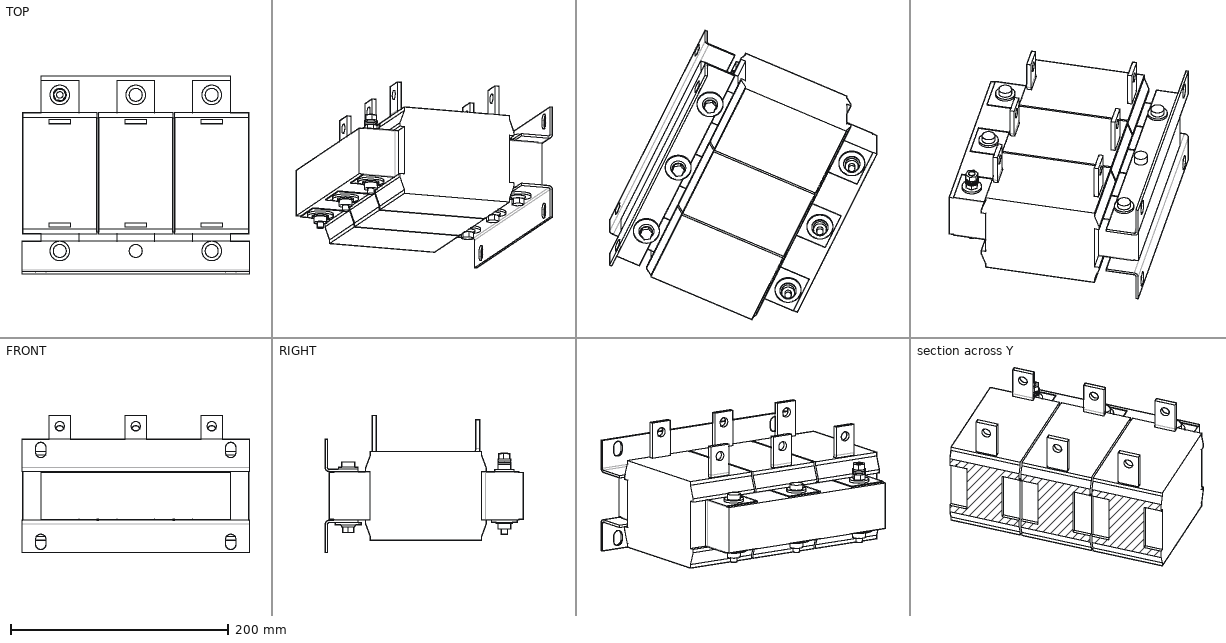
import cadquery as cq
import math


PHASE_PITCH = 70.0
PHASES = (-PHASE_PITCH, 0.0, PHASE_PITCH)

BRACKET_LENGTH = 210.0
BRACKET_HALF_HEIGHT = 52.3
BRACKET_DEPTH = 30.3
SHEET = 2.25
BEND_INNER_RADIUS = 1.5
BEND_OUTER_RADIUS = BEND_INNER_RADIUS + SHEET
SLOT_WIDTH = 9.5
SLOT_HEIGHT = 14.0
SLOT_X = 87.5
SLOT_Z = 42.25

LIMB = 35.0
CORE_WIDTH = 2 * PHASE_PITCH + LIMB
CORE_HEIGHT = 43.2
WINDOW_LENGTH = 105.0
AIR_GAP = 3.8
CORE_FRONT = BEND_OUTER_RADIUS
FRONT_YOKE_END = CORE_FRONT + LIMB
LIMB_END = FRONT_YOKE_END + WINDOW_LENGTH
REAR_YOKE_START = LIMB_END + AIR_GAP
CORE_REAR = REAR_YOKE_START + LIMB

STRIP_THICKNESS = 0.75
STRIP_INSET = 4.1
CLAMP_Z = CORE_HEIGHT / 2 + STRIP_THICKNESS

COIL_WIDTH = 68.3
COIL_HALF_HEIGHT = 41.0
COIL_FRONT = 41.5
COIL_REAR = 144.2
BULGE = 4.4
BULGE_LOWER_Z = 25.5
BULGE_UPPER_Z = 37.5

TAB_WIDTH = 20.0
TAB_THICKNESS = 4.0
FRONT_TAB_Y = 43.2
REAR_TAB_Y = 138.6
FRONT_TAB_TOP = 74.3
REAR_TAB_DROP = 4.0
REAR_TAB_TOP = FRONT_TAB_TOP - REAR_TAB_DROP
TAB_HOLE_DIAMETER = 8.5
TAB_HOLE_DROP = 10.0
FOOT_HEIGHT = 2.5
FOOT_INNER_RADIUS = 6.0

FRONT_BOLT_Y = CORE_FRONT + LIMB / 2
REAR_BOLT_Y = REAR_YOKE_START + LIMB / 2
STUD_DIAMETER = 6.0
HEAD_DIAMETER = 12.0
HEAD_HEIGHT = 4.7
WASHER_DIAMETER = 18.0
WIDE_WASHER_DIAMETER = 24.0
WASHER_THICKNESS = 2.0
SMALL_WASHER_DIAMETER = 12.0
SMALL_WASHER_THICKNESS = 1.5
SPRING_WASHER_DIAMETER = 11.6
SPRING_SLIT_WIDTH = 0.6
SPRING_SLIT_ANGLE = 221.0
NUT_ACROSS_FLATS = 10.0
NUT_ACROSS_CORNERS = NUT_ACROSS_FLATS / math.cos(math.pi / 6)
NUT_HEIGHT = 5.0
NUT_TURN = 8.0
STUD_TOP_PROJECTION = 0.5
COLLAR_DIAMETER = 15.0
COLLAR_THICKNESS = 1.3
LOCK_NUT_DIAMETER = 12.0
STUD_BOTTOM_PROJECTION = 4.7
SERRATED_LARGE_DIAMETER = 14.0
SERRATED_SMALL_DIAMETER = 11.6
SERRATED_THICKNESS = 2.2


def block(x_center, width, y_start, y_end, z_start, z_end):
    size_y = y_end - y_start
    size_z = z_end - z_start
    corner = (x_center - width / 2, y_start, z_start)
    return cq.Workplane("XY").box(width, size_y, size_z, centered=False).translate(corner)


def disc(x, y, z, diameter, height):
    """Round disc standing on z; a negative height hangs it below z."""
    return cq.Workplane("XY", origin=(x, y, z)).circle(diameter / 2).extrude(height)


def nut(x, y, z, height, turn):
    """Hexagon nut with a corner facing -X, turned about its axis by `turn` degrees."""
    hexagon = cq.Workplane("XY").polygon(6, NUT_ACROSS_CORNERS).extrude(height)
    return hexagon.rotate((0, 0, 0), (0, 0, 1), turn).translate((x, y, z))


def make_core():
    """Front yoke with three limbs, gap filler, rear yoke and the insulating strips."""
    half = CORE_HEIGHT / 2
    core = block(0, CORE_WIDTH, CORE_FRONT, FRONT_YOKE_END, -half, half)
    for x in PHASES:
        core = core.union(block(x, LIMB, FRONT_YOKE_END, LIMB_END, -half, half))
    core = core.union(block(0, CORE_WIDTH, LIMB_END, REAR_YOKE_START, -half, half), clean=False)
    core = core.union(block(0, CORE_WIDTH, REAR_YOKE_START, CORE_REAR, -half, half), clean=False)
    strip_front = CORE_FRONT + STRIP_INSET
    strip_rear = CORE_REAR - STRIP_INSET
    for x in PHASES:
        core = core.union(block(x, LIMB, strip_front, strip_rear, half, CLAMP_Z), clean=False)
        core = core.union(block(x, LIMB, strip_front, strip_rear, -CLAMP_Z, -half), clean=False)
    return core


def make_coil(x):
    """Winding block whose ends bulge out above and below the core."""
    upper_end = [
        (COIL_FRONT, CLAMP_Z),
        (COIL_FRONT - BULGE, CLAMP_Z),
        (COIL_FRONT - BULGE, BULGE_LOWER_Z),
        (COIL_FRONT, BULGE_UPPER_Z),
    ]
    middle_y = (COIL_FRONT + COIL_REAR) / 2
    left = cq.Workplane("YZ", origin=(x - COIL_WIDTH / 2, 0, 0))
    bulge = left.polyline(upper_end).close().extrude(COIL_WIDTH)
    bulge = bulge.union(bulge.mirror("XY"))
    coil = block(x, COIL_WIDTH, COIL_FRONT, COIL_REAR, -COIL_HALF_HEIGHT, COIL_HALF_HEIGHT)
    return coil.union(bulge).union(bulge.mirror("XZ", (0, middle_y, 0)))


def make_tab(x, y_start, bottom, top):
    """Upright terminal plate with a hole near its top."""
    y_end = y_start + TAB_THICKNESS
    tab = block(x, TAB_WIDTH, y_start, y_end, bottom, top)
    hole = (
        cq.Workplane("XZ", origin=(x, y_end, top - TAB_HOLE_DROP))
        .circle(TAB_HOLE_DIAMETER / 2)
        .extrude(TAB_THICKNESS)
    )
    return tab.cut(hole)


def make_tab_foot(x):
    """Start of the bend that carries a rear tab forward into its coil."""
    axis_y = REAR_TAB_Y - FOOT_INNER_RADIUS
    axis_z = COIL_HALF_HEIGHT + FOOT_HEIGHT
    bend = (
        cq.Workplane("YZ", origin=(x - TAB_WIDTH / 2, axis_y, axis_z))
        .circle(FOOT_INNER_RADIUS + TAB_THICKNESS)
        .circle(FOOT_INNER_RADIUS)
        .extrude(TAB_WIDTH)
    )
    rear_half = block(x, TAB_WIDTH, axis_y, REAR_TAB_Y + TAB_THICKNESS, COIL_HALF_HEIGHT, axis_z)
    return bend.intersect(rear_half)


def make_upper_bracket():
    """Bent angle: flat leg clamped on the core, upright leg with two mounting slots."""
    bend_z = CLAMP_Z + BEND_OUTER_RADIUS
    flat = block(0, BRACKET_LENGTH, BEND_OUTER_RADIUS, BRACKET_DEPTH, CLAMP_Z, CLAMP_Z + SHEET)
    upright = block(0, BRACKET_LENGTH, 0, SHEET, bend_z, BRACKET_HALF_HEIGHT)
    bend_axis = cq.Workplane("YZ", origin=(-BRACKET_LENGTH / 2, BEND_OUTER_RADIUS, bend_z))
    bend = bend_axis.circle(BEND_OUTER_RADIUS).circle(BEND_INNER_RADIUS).extrude(BRACKET_LENGTH)
    bend = bend.intersect(block(0, BRACKET_LENGTH, 0, BEND_OUTER_RADIUS, CLAMP_Z, bend_z))
    bracket = flat.union(bend, clean=False).union(upright, clean=False)
    slots = (
        cq.Workplane("XZ", origin=(0, SHEET, SLOT_Z))
        .pushPoints([(-SLOT_X, 0), (SLOT_X, 0)])
        .slot2D(SLOT_HEIGHT, SLOT_WIDTH, 90)
        .extrude(SHEET)
    )
    return bracket.cut(slots, clean=False)


def make_head(x, y, seat_z, with_washer):
    """Round bolt head, its top at the same level with or without the washer."""
    head = disc(x, y, seat_z, HEAD_DIAMETER, WASHER_THICKNESS + HEAD_HEIGHT)
    if with_washer:
        head = head.union(disc(x, y, seat_z, WASHER_DIAMETER, WASHER_THICKNESS))
    return head


def make_spring_washer(x, y, z):
    """Split washer: a disc slit from its rim to the stud."""
    stud_radius = STUD_DIAMETER / 2
    slit_length = SPRING_WASHER_DIAMETER / 2
    slit = cq.Workplane("XY").box(
        slit_length, SPRING_SLIT_WIDTH, SMALL_WASHER_THICKNESS, centered=(False, True, False)
    )
    slit = slit.translate((stud_radius, 0, 0)).rotate((0, 0, 0), (0, 0, 1), SPRING_SLIT_ANGLE)
    washer = disc(x, y, z, SPRING_WASHER_DIAMETER, SMALL_WASHER_THICKNESS)
    return washer.cut(slit.translate((x, y, z)))


def make_earth_stud(x, y):
    """Stack on the core: washer, nut, three small washers, nut and the stud end."""
    z = CLAMP_Z
    stack = disc(x, y, z, WASHER_DIAMETER, WASHER_THICKNESS)
    z += WASHER_THICKNESS
    stack = stack.union(nut(x, y, z, NUT_HEIGHT, NUT_TURN))
    z += NUT_HEIGHT
    plain = disc(x, y, z, SMALL_WASHER_DIAMETER, SMALL_WASHER_THICKNESS)
    stack = stack.union(plain)
    z += SMALL_WASHER_THICKNESS
    stack = stack.union(make_spring_washer(x, y, z))
    z += SMALL_WASHER_THICKNESS
    stack = stack.union(plain.translate((0, 0, 2 * SMALL_WASHER_THICKNESS)))
    z += SMALL_WASHER_THICKNESS
    stack = stack.union(nut(x, y, z, NUT_HEIGHT, -NUT_TURN))
    z += NUT_HEIGHT
    return stack.union(disc(x, y, z, STUD_DIAMETER, STUD_TOP_PROJECTION))


def make_rear_underside(x, y):
    """Wide washer, collar, round lock nut and stud end below the rear yoke."""
    stack = disc(x, y, -CLAMP_Z, WIDE_WASHER_DIAMETER, -WASHER_THICKNESS)
    z = -CLAMP_Z - WASHER_THICKNESS
    stack = stack.union(disc(x, y, z, COLLAR_DIAMETER, -COLLAR_THICKNESS))
    z -= COLLAR_THICKNESS
    stack = stack.union(disc(x, y, z, LOCK_NUT_DIAMETER, -NUT_HEIGHT))
    z -= NUT_HEIGHT
    return stack.union(disc(x, y, z, STUD_DIAMETER, -STUD_BOTTOM_PROJECTION))


def make_front_underside(x, y):
    """Wide washer, tapered serrated washer and nut below the lower bracket."""
    z = -CLAMP_Z - SHEET
    stack = disc(x, y, z, WIDE_WASHER_DIAMETER, -WASHER_THICKNESS)
    z -= WASHER_THICKNESS
    serrated = (
        cq.Workplane("XY", origin=(x, y, z))
        .circle(SERRATED_LARGE_DIAMETER / 2)
        .workplane(offset=-SERRATED_THICKNESS)
        .circle(SERRATED_SMALL_DIAMETER / 2)
        .loft()
    )
    z -= SERRATED_THICKNESS + NUT_HEIGHT
    return stack.union(serrated).union(nut(x, y, z, NUT_HEIGHT, -NUT_TURN / 2))


upper_bracket = make_upper_bracket()
result = make_core()
result = result.union(upper_bracket, clean=False)
result = result.union(upper_bracket.mirror("XY"), clean=False)

for phase_x in PHASES:
    result = result.union(make_coil(phase_x), clean=False)
    front_tab = make_tab(phase_x, FRONT_TAB_Y, COIL_HALF_HEIGHT, FRONT_TAB_TOP)
    rear_tab = make_tab(phase_x, REAR_TAB_Y, COIL_HALF_HEIGHT + FOOT_HEIGHT, REAR_TAB_TOP)
    result = result.union(front_tab, clean=False)
    result = result.union(rear_tab, clean=False)
    result = result.union(make_tab_foot(phase_x), clean=False)

    is_middle = phase_x == 0
    result = result.union(make_head(phase_x, FRONT_BOLT_Y, CLAMP_Z + SHEET, not is_middle), clean=False)
    result = result.union(make_front_underside(phase_x, FRONT_BOLT_Y), clean=False)
    result = result.union(make_rear_underside(phase_x, REAR_BOLT_Y), clean=False)

result = result.union(make_earth_stud(PHASES[0], REAR_BOLT_Y), clean=False)
for phase_x in PHASES[1:]:
    result = result.union(make_head(phase_x, REAR_BOLT_Y, CLAMP_Z, True), clean=False)